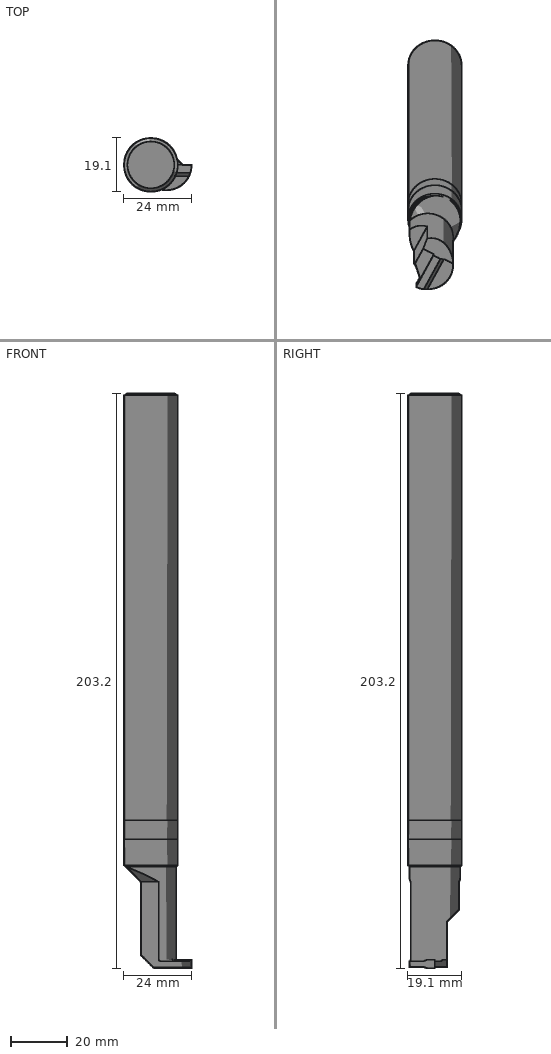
import cadquery as cq


total_length = 203.2
bar_radius = 19.05 / 2
shank_start = 52.4
collar_start = 45.6
end_chamfer_radial = 1.25
end_chamfer_length = 0.7

neck_radius = 18 / 2
neck_top = 35.9
neck_step = bar_radius - neck_radius
tip_reach = 14.45
tip_round_x = tip_reach - neck_radius
cone_start = 30.5
cone_growth = collar_start - cone_start

flange_bottom = 0.4
flange_top = 2.5
flange_fillet = 0.6
tooth_top = 3.0
tooth_width = 2.8
tooth_slope_width = 1.2
heel_x = -3.55
heel_height = 4.7

flat_y = 4.3
flat_top = 16.4
rake_y = 0.0
gullet_x = 11.3

clearance = 30.0


def cylinder(radius, bottom, top, center_x=0.0):
    """Upright cylinder from z = bottom to z = top."""
    return cq.Workplane("XY", origin=(center_x, 0, bottom)).circle(radius).extrude(top - bottom)


def make_shank():
    """Plain round bar with a shallow chamfer around its free end."""
    shank = cylinder(bar_radius, shank_start, total_length)
    return shank.faces(">Z").edges().chamfer(end_chamfer_length, end_chamfer_radial)


def make_collar():
    """Short ring-like disc between the head and the shank."""
    return cylinder(bar_radius, collar_start, shank_start)


def make_offset_envelope():
    """Offset round from the tip to the neck, flaring into a 45 degree cone above it."""
    return (
        cq.Workplane("XZ")
        .lineTo(neck_radius, 0)
        .lineTo(neck_radius, cone_start)
        .lineTo(neck_radius + cone_growth, collar_start)
        .lineTo(0, collar_start)
        .close()
        .revolve(360, (0, 0, 0), (0, 1, 0))
        .translate((tip_round_x, 0, 0))
    )


def make_stepped_round():
    """Chamfered bar-size base and smaller stem on the bar axis, filleted into a wide flange disc."""
    base = cylinder(bar_radius, neck_top, collar_start).faces("<Z").edges().chamfer(neck_step)
    stem = cylinder(neck_radius, flange_top, neck_top)
    disc = cylinder(tip_reach + neck_radius, flange_bottom, flange_top)
    stem_foot = cq.selectors.RadiusNthSelector(0)
    body = disc.union(stem).faces("<Z[1]").edges(stem_foot).fillet(flange_fillet)
    return body.union(base)


def make_tooth_bar():
    """Straight bar along X, thicker than the flange and sloping down to it on the -Y side."""
    slope_start = rake_y - tooth_width
    slope_end = slope_start - tooth_slope_width
    return (
        cq.Workplane("YZ")
        .moveTo(rake_y, 0)
        .lineTo(slope_start, 0)
        .lineTo(slope_end, flange_bottom)
        .lineTo(slope_end, flange_top)
        .lineTo(slope_start, tooth_top)
        .lineTo(rake_y, tooth_top)
        .close()
        .extrude(clearance, both=True)
    )


def heel_cut():
    """45 degree wedge under the side opposite the tooth."""
    return (
        cq.Workplane("XZ")
        .moveTo(heel_x - heel_height, 2 * heel_height)
        .lineTo(heel_x + heel_height, 0)
        .lineTo(heel_x - heel_height, 0)
        .close()
        .extrude(clearance, both=True)
    )


def flat_cut():
    """Flat on the +Y side of the lower neck, running out at 45 degrees."""
    return (
        cq.Workplane("YZ")
        .moveTo(flat_y, 0)
        .lineTo(flat_y, flat_top)
        .lineTo(flat_y + clearance, flat_top + clearance)
        .lineTo(flat_y + clearance, 0)
        .close()
        .extrude(clearance, both=True)
    )


def gullet_cut():
    """Rake face of the tooth and the 45 degree gullet that joins it to the flat."""
    rise = flat_y - rake_y
    return (
        cq.Workplane("XY")
        .moveTo(clearance, rake_y)
        .lineTo(gullet_x, rake_y)
        .lineTo(gullet_x - rise, flat_y)
        .lineTo(clearance, flat_y + clearance)
        .close()
        .extrude(tooth_top)
    )


def make_head():
    """Neck and toothed flange with the heel, flat and gullet cut away."""
    head = make_stepped_round().union(make_tooth_bar()).intersect(make_offset_envelope())
    return head.cut(heel_cut()).cut(flat_cut()).cut(gullet_cut())


shank = make_shank()
collar = make_collar()
head = make_head()

result = cq.Compound.makeCompound([shank.val(), collar.val(), head.val()])